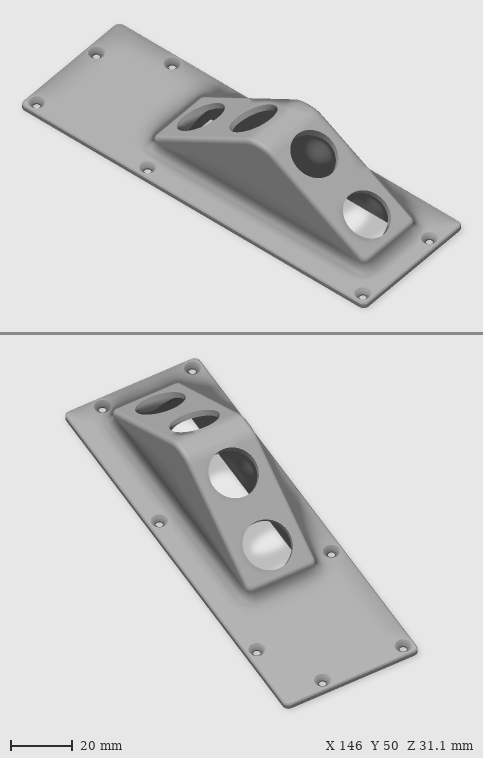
import cadquery as cq
import math

plate_length = 146.0
plate_width = 50.0
plate_thickness = 2.0
plate_corner_radius = 2.0
plate_edge_chamfer = 0.5

screw_hole_diameter = 2.5
countersink_diameter = 5.5
countersink_angle = 90.0
screw_inset = 4.0
screw_left_y = 9.0
screw_right_y = 12.5
screws_back_x = (26.0, 90.0)
screw_front_x = 51.0

total_height = 31.1
housing_center_x = 91.0
housing_length = 90.1
housing_width = 25.8
slope_angle = 30.9
ridge_flat = 1.8
ridge_radius = 10.0
housing_corner_radius = 2.0
housing_edge_radius = 1.6
foot_fillet_radius = 3.0

end_wall = 5.0
side_wall = 2.0
roof_thickness = 2.0
cavity_eave_radius = 5.8
cavity_peak_radius = 32.1

opening_diameter = 17.0
opening_offset_x = 35.2
opening_spacing = 26.0
opening_depth = 7.3

margin = 0.7

slope = math.radians(slope_angle)
ridge_half = ridge_flat / 2 + ridge_radius * math.tan(slope / 2)
apex_z = total_height + ridge_half * math.tan(slope)


def slope_z(offset_x, depth=0.0):
    """Height at a distance from the ridge, at a depth square to the slope."""
    return apex_z - offset_x * math.tan(slope) - depth / math.cos(slope)


def extrude_profile(points, width):
    """Extrude an XZ outline by the width, centred on Y = 0."""
    return cq.Workplane("XZ").polyline(points).close().extrude(width / 2, both=True)


def centers_within(half_x, half_y, low_z, high_z):
    """Select what has its centre in a box around the middle of the housing."""
    return cq.selectors.BoxSelector(
        (housing_center_x - half_x, -half_y, low_z),
        (housing_center_x + half_x, half_y, high_z),
    )


def make_plate():
    plate = (
        cq.Workplane("XY")
        .box(plate_length, plate_width, plate_thickness, centered=(False, True, False))
        .edges("|Z")
        .fillet(plate_corner_radius)
    )
    return plate.faces(">Z").chamfer(plate_edge_chamfer)


def make_housing():
    half = housing_length / 2
    eave_z = slope_z(half)
    outline = [
        (housing_center_x - half, 0),
        (housing_center_x - half, eave_z),
        (housing_center_x - ridge_half, total_height),
        (housing_center_x + ridge_half, total_height),
        (housing_center_x + half, eave_z),
        (housing_center_x + half, 0),
    ]
    housing = extrude_profile(outline, housing_width)
    housing = housing.faces(">Z").edges("|Y").fillet(ridge_radius)
    housing = housing.edges("|Z").fillet(housing_corner_radius)
    top_faces = centers_within(half - margin, margin, eave_z, total_height + margin)
    return housing.faces(top_faces).edges().fillet(housing_edge_radius)


def add_foot_fillet(body):
    """Round the inside corner where the housing stands on the plate."""
    foot_edges = centers_within(
        housing_length / 2 + margin,
        housing_width / 2 + margin,
        plate_thickness - margin,
        plate_thickness + margin,
    )
    return body.edges(foot_edges).fillet(foot_fillet_radius)


def make_cavity():
    half = housing_length / 2 - end_wall
    eave_z = slope_z(half, roof_thickness)
    outline = [
        (housing_center_x - half, 0),
        (housing_center_x - half, eave_z),
        (housing_center_x, slope_z(0, roof_thickness)),
        (housing_center_x + half, eave_z),
        (housing_center_x + half, 0),
    ]
    cavity = extrude_profile(outline, housing_width - 2 * side_wall)
    eave_edges = centers_within(half + margin, margin, eave_z - margin, eave_z + margin)
    cavity = cavity.edges("|Y").edges(eave_edges).fillet(cavity_eave_radius)
    return cavity.edges("|Y").edges(">Z").fillet(cavity_peak_radius)


def make_openings(side):
    """Two round cutters square to one slope; side is -1 for the left slope, 1 for the right."""
    slope_plane = cq.Plane(
        origin=(housing_center_x + side * opening_offset_x, 0, slope_z(opening_offset_x)),
        xDir=(-side * math.cos(slope), 0, math.sin(slope)),
        normal=(side * math.sin(slope), 0, math.cos(slope)),
    )
    return (
        cq.Workplane(slope_plane)
        .workplane(offset=margin)
        .pushPoints([(0, 0), (opening_spacing, 0)])
        .circle(opening_diameter / 2)
        .extrude(-opening_depth - margin)
    )


def screw_points():
    side_y = plate_width / 2 - screw_inset
    right_x = plate_length - screw_inset
    points = [(x, side_y) for x in screws_back_x]
    points += [(x, -side_y) for x in (screw_inset, screw_front_x, right_x)]
    points += [(screw_inset, screw_left_y), (right_x, screw_right_y)]
    return points


def drill_screw_holes(body):
    return (
        cq.Workplane("XY", origin=(0, 0, plate_thickness))
        .add(body.val())
        .pushPoints(screw_points())
        .cskHole(screw_hole_diameter, countersink_diameter, countersink_angle)
    )


body = add_foot_fillet(make_plate().union(make_housing()))
body = body.cut(make_cavity())
for side in (-1, 1):
    body = body.cut(make_openings(side))

result = drill_screw_holes(body)